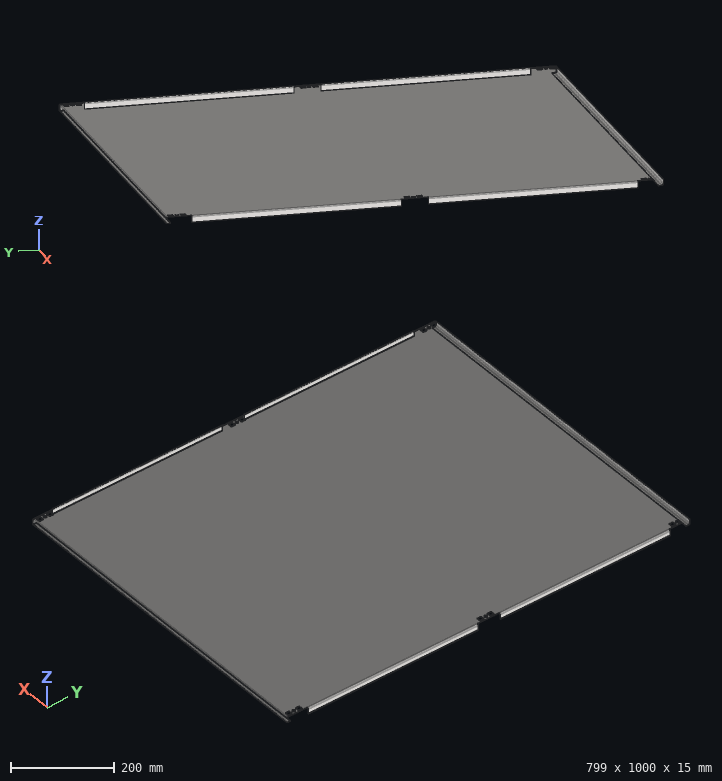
import cadquery as cq

LENGTH = 1000.0
WIDTH = 799.0
HEIGHT = 15.0

THICKNESS = 2.0
BEND_RADIUS = 4.0
LIP_LENGTH = 10.0
PLATE_WIDTH = WIDTH - 2 * BEND_RADIUS

FLANGE_START = 27.0
FLANGE_END = 448.0

HOLE_ROW_SPACING = 775.0
CORNER_GROUP_Y = 475.0
SQUARE_HOLE_SPACING = 25.0
SQUARE_HOLE_SIZE = 9.5
ROUND_HOLE_DIAMETER = 7.0


def bent_channel(span, run, bent_edges, bottom_reach):
    """Sheet with a flange down from both long edges: span across Y, run along X.

    bent_edges selects the rounded corners of the section, and bottom_reach is how far
    the metal reaches inward at the bottom of each flange.
    """

    def rounded_bar(inset):
        return (
            cq.Workplane("XY")
            .box(run, span - 2 * inset, HEIGHT - 2 * inset)
            .edges(bent_edges)
            .fillet(BEND_RADIUS - inset)
        )

    opening = cq.Workplane("XY").box(run, span - 2 * bottom_reach, HEIGHT).translate((0, 0, -HEIGHT / 2))
    channel = rounded_bar(0).cut(rounded_bar(THICKNESS)).cut(opening)
    return channel.translate((0, 0, HEIGHT / 2))


def plate():
    """Top sheet with lipped flanges at both ends and two pairs of plain side flanges."""
    flange_pair = bent_channel(WIDTH, FLANGE_END - FLANGE_START, "|X and >Z", THICKNESS)
    flange_pair = flange_pair.rotate((0, 0, 0), (0, 0, 1), 90)
    flange_middle = (FLANGE_START + FLANGE_END) / 2
    body = bent_channel(LENGTH, PLATE_WIDTH, "|X", LIP_LENGTH)
    for end in (-1, 1):
        body = body.union(flange_pair.translate((0, end * flange_middle, 0)))
    return body


def hole_group(x, y):
    """Cutter for a round hole midway between two square holes, through the top sheet only."""
    sheet = cq.Workplane("XY", origin=(x, y, HEIGHT - THICKNESS))
    squares = (
        sheet.rarray(10, SQUARE_HOLE_SPACING, 1, 2)
        .rect(SQUARE_HOLE_SIZE, SQUARE_HOLE_SIZE)
        .extrude(THICKNESS)
    )
    return squares.union(sheet.circle(ROUND_HOLE_DIAMETER / 2).extrude(THICKNESS))


result = plate()
for side in (-1, 1):
    for group_y in (-CORNER_GROUP_Y, 0, CORNER_GROUP_Y):
        result = result.cut(hole_group(side * HOLE_ROW_SPACING / 2, group_y))
result = result.solids()